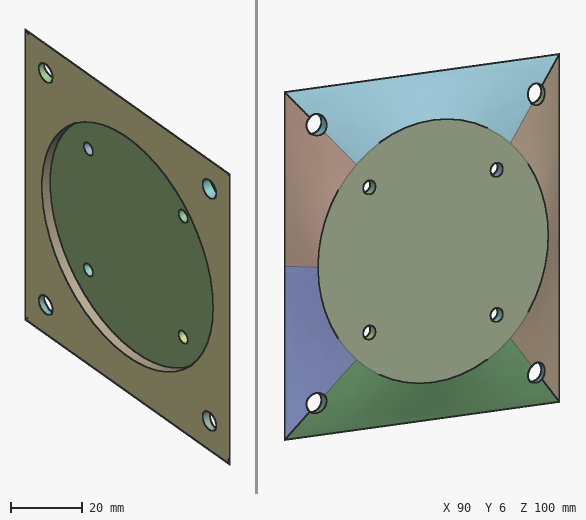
import cadquery as cq

width = 90.0
height = 100.0
thickness = 6.0
disc_diameter = 75.4

recess_diameter = disc_diameter
recess_depth = 3.0

corner_hole_diameter = 6.0
corner_spacing_x = 72.0
corner_spacing_z = 80.0
inner_hole_diameter = 4.0
inner_spacing = 41.7

front_plane = cq.Plane(origin=(0, 0, 0), xDir=(1, 0, 0), normal=(0, -1, 0))


def tapered_body():
    """Ruled transition from the rectangle to the circle."""
    return (
        cq.Workplane(front_plane)
        .rect(width, height)
        .workplane(offset=-thickness)
        .circle(disc_diameter / 2)
        .loft(ruled=True)
    )


def round_cut(diameter, depth):
    """Cylinder sunk into the front face at the plate centre."""
    return cq.Workplane(front_plane).circle(diameter / 2).extrude(-depth)


def hole_pattern(spacing_x, spacing_z, diameter):
    """Four through holes at the corners of a centred rectangle."""
    return (
        cq.Workplane(front_plane)
        .rect(spacing_x, spacing_z, forConstruction=True)
        .vertices()
        .circle(diameter / 2)
        .extrude(-thickness)
    )


result = (
    tapered_body()
    .cut(round_cut(recess_diameter, recess_depth))
    .cut(hole_pattern(corner_spacing_x, corner_spacing_z, corner_hole_diameter))
    .cut(hole_pattern(inner_spacing, inner_spacing, inner_hole_diameter))
)